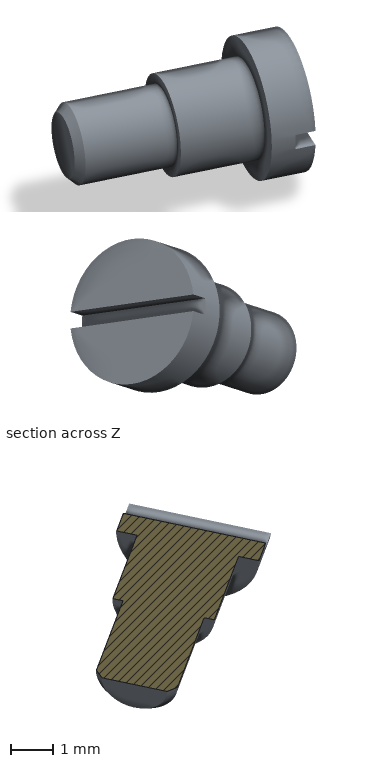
import cadquery as cq

head_diameter = 3.5
head_length = 1.1
shoulder_diameter = 2.5
shoulder_length = 2.1
shank_diameter = 2.0
shank_length = 2.5
tip_chamfer = 0.2
slot_width = 0.4
slot_depth = 0.5

shoulder_end_y = -shoulder_length
tip_y = shoulder_end_y - shank_length


def turned_body():
    """Revolve the stepped half-profile about the Y axis."""
    head_radius = head_diameter / 2
    shoulder_radius = shoulder_diameter / 2
    shank_radius = shank_diameter / 2
    profile = [
        (0, head_length),
        (head_radius, head_length),
        (head_radius, 0),
        (shoulder_radius, 0),
        (shoulder_radius, shoulder_end_y),
        (shank_radius, shoulder_end_y),
        (shank_radius, tip_y + tip_chamfer),
        (shank_radius - tip_chamfer, tip_y),
        (0, tip_y),
    ]
    return cq.Workplane("XY").polyline(profile).close().revolve(360, (0, 0), (0, 1))


def driver_slot():
    """Slot across the head along X, open at the head's end face."""
    slot_centre_y = head_length - slot_depth / 2
    return (
        cq.Workplane("XY")
        .box(head_diameter, slot_depth, slot_width)
        .translate((0, slot_centre_y, 0))
    )


result = turned_body().cut(driver_slot())